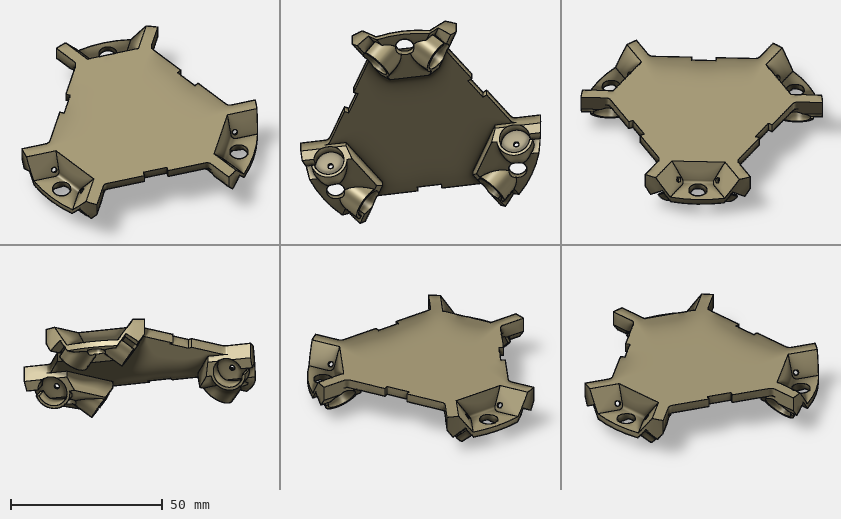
import math

import cadquery as cq


arm_count = 3
first_arm_angle = 60.0
outer_radius = 40.0
beyond = 2 * outer_radius

plate_thickness = 3.0
plate_side_distance = 25.0
corner_fillet = 2.0
notch_width = 8.0
notch_depth = 1.5

wall_spread = 30.0
wall_offset = 3.0
wall_vertical_height = 5.0
wall_slope = 35.0
wall_thickness = 6.0
block_height = 9.0
block_back = 23.0

floor_thickness = 2.0
pocket_depth = block_height - floor_thickness
pocket_back = 28.8
pocket_back_slope = 20.0
pocket_fillet = 2.0
floor_hole_diameter = 6.0
floor_hole_distance = 35.0

bore_radius = 5.0
tube_radius = 6.0
end_wall = 1.0
socket_position = 30.9
socket_drop = 4.45
slot_width = 2.0
wire_hole_diameter = 1.75
cut_lead = 1.0

bore_depth = wall_thickness - end_wall
corner_diameter = 4 * plate_side_distance
slope_angle = math.radians(wall_slope)
slope_run = math.tan(slope_angle)

socket_frame = cq.Plane(
    origin=(
        wall_offset + socket_drop * math.sin(slope_angle),
        socket_position,
        -wall_vertical_height - socket_drop * math.cos(slope_angle),
    ),
    xDir=(0, 1, 0),
    normal=(math.cos(slope_angle), 0, math.sin(slope_angle)),
)


def turned(shape, angle):
    """Rotate a shape about the centre axis of the part."""
    return shape.rotate((0, 0, 0), (0, 0, 1), angle)


def on_arms(shape):
    """Repeat a shape, given for an arm along +X, for every arm."""
    step = 360 / arm_count
    copies = turned(shape, first_arm_angle)
    for index in range(1, arm_count):
        copies = copies.union(turned(shape, first_arm_angle + index * step))
    return copies


def to_left_wall(shape):
    """Move a shape from the wall that runs along +Y to the left wall of an arm along +X."""
    return turned(shape, wall_spread - 90)


def both_walls(shape):
    """Place a shape on both side walls of an arm along +X."""
    left = to_left_wall(shape)
    return left.union(left.mirror("XZ"))


def between_walls(profile):
    """Solid common to a wall-side prism and its mirror image across the arm axis."""
    left = to_left_wall(profile.extrude(beyond, both=True))
    return left.intersect(left.mirror("XZ"))


def full_disc(height):
    return cq.Workplane("XY").circle(outer_radius).extrude(-height)


def make_block():
    """Arm block with vertical, then inward-sloping, outer side walls."""
    foot = wall_offset + slope_run * (block_height - wall_vertical_height)
    profile = cq.Workplane("XZ").polyline([
        (wall_offset, 0),
        (wall_offset, -wall_vertical_height),
        (foot, -block_height),
        (beyond, -block_height),
        (beyond, 0),
    ]).close()
    behind = cq.Workplane("XY").box(2 * block_back, 2 * beyond, 2 * beyond)
    return between_walls(profile).intersect(full_disc(block_height)).cut(behind)


def make_pocket():
    """Tray pocket with sloped side walls and a filleted, sloped back wall."""
    virtual_top = wall_offset - slope_run * wall_vertical_height
    top = virtual_top + wall_thickness / math.cos(slope_angle)
    sides = between_walls(cq.Workplane("XZ").polyline([
        (top, 0),
        (top + slope_run * pocket_depth, -pocket_depth),
        (beyond, -pocket_depth),
        (beyond, 0),
    ]).close())
    back_foot = pocket_back + pocket_depth * math.tan(math.radians(pocket_back_slope))
    back = cq.Workplane("XZ").polyline([
        (pocket_back, 0),
        (back_foot, -pocket_depth),
        (beyond, -pocket_depth),
        (beyond, 0),
    ]).close().extrude(beyond, both=True)
    back = back.edges("|Y and <Z").edges("<X").fillet(pocket_fillet)
    return sides.intersect(back)


def make_plate():
    """Triangular plate widened into the arms, with rounded inner corners and side notches."""
    triangle = cq.Workplane("XY").polygon(arm_count, corner_diameter).extrude(-plate_thickness)
    plate = turned(triangle, first_arm_angle)
    wedge = between_walls(cq.Workplane("XZ").polyline([
        (wall_offset, 0),
        (wall_offset, -plate_thickness),
        (beyond, -plate_thickness),
        (beyond, 0),
    ]).close())
    plate = plate.union(on_arms(wedge)).intersect(full_disc(plate_thickness))
    inner_corners = plate.edges("|Z").filter(
        lambda edge: math.hypot(edge.Center().x, edge.Center().y) < outer_radius - corner_fillet
    )
    plate = inner_corners.fillet(corner_fillet)
    notch = cq.Workplane("XY").box(2 * notch_depth, notch_width, beyond)
    return plate.cut(on_arms(notch.translate((-plate_side_distance, 0, 0))))


def socket_box(low, high, start):
    """Box from the socket axis toward the arm tip, between two heights on the slope."""
    work = cq.Workplane(socket_frame).workplane(offset=start)
    flat = work.center(beyond / 2, (low + high) / 2).rect(beyond, high - low)
    return flat.extrude(bore_depth - start)


def make_socket_cut():
    """Bore, plus the space around the tube on the side toward the arm tip."""
    work = cq.Workplane(socket_frame).workplane(offset=-cut_lead)
    bore = work.circle(bore_radius).extrude(bore_depth + cut_lead)
    around = socket_box(-beyond, slot_width / 2, -cut_lead)
    return bore.union(around)


def make_tube():
    """Lower half-tube, slotted toward the arm tip, that runs in until it meets the floor."""
    ring = cq.Workplane(socket_frame).circle(tube_radius).circle(bore_radius).extrude(beyond)
    lower = cq.Workplane(socket_frame).center(0, -tube_radius).rect(4 * tube_radius, 2 * tube_radius)
    ring = ring.intersect(lower.extrude(beyond))
    past_bore = cq.Workplane(socket_frame).workplane(offset=bore_depth)
    past_bore = past_bore.rect(2 * beyond, 2 * beyond).extrude(beyond)
    above_floor = cq.Workplane("XY").workplane(offset=-block_height)
    above_floor = above_floor.rect(4 * beyond, 4 * beyond).extrude(2 * beyond)
    ring = ring.cut(past_bore.intersect(above_floor))
    return ring.cut(socket_box(-slot_width / 2, slot_width / 2, 0))


def make_wire_hole():
    """Small hole on the socket axis, from the bore through to the pocket."""
    return cq.Workplane(socket_frame).circle(wire_hole_diameter / 2).extrude(wall_thickness + cut_lead)


def make_floor_hole():
    hole = cq.Workplane("XY").center(floor_hole_distance, 0).circle(floor_hole_diameter / 2)
    return hole.extrude(-beyond)


body = make_plate().union(on_arms(make_block()))
body = body.cut(on_arms(make_pocket()))
body = body.cut(on_arms(both_walls(make_socket_cut())))
body = body.union(on_arms(both_walls(make_tube())))
body = body.cut(on_arms(both_walls(make_wire_hole())))
result = body.cut(on_arms(make_floor_hole()))